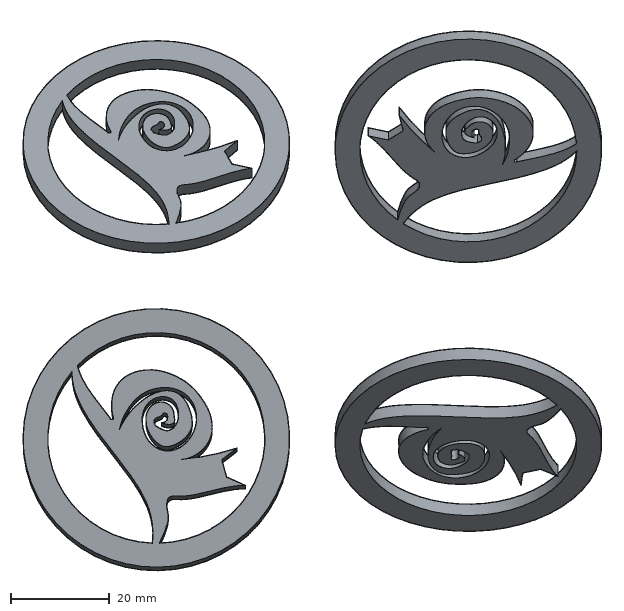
import cadquery as cq
import math

OUTER_DIAMETER = 54.0
RING_WIDTH = 5.0
THICKNESS = 3.0

TAIL_UNDERSIDE = (-32.9, -24.0)
TAIL_TOP = (-34.7, -21.3)
TAIL_ROOT = (-6.35, -7.95)
SHELL_FOOT = (-6.3, -7.3)
FRONT_UNDERSIDE = (38.8, -12.0)
FRONT_TOP = (39.6, -9.4)
CHEST = (12.65, 0.3)
RIGHT_EAR_TIP = (14.25, 14.9)
RIGHT_EAR_BASE = (11.55, 11.65)
LEFT_EAR_BASE = (7.85, 11.65)
LEFT_EAR_TIP = (6.25, 15.25)
NAPE = (5.65, 3.8)

SLOT_TIP = (-3.6, -6.75)
SLOT_END = (-2.6, 0.5)
SLOT_END_LEFT = (-3.55, 0.45)
HOOK_TIP = (-2.8, 1.85)

BELLY = [
    (-13.9, -13.4), (-9.1, -12.7), (-0.95, -9.9), (6.6, -6.9), (10.7, -5.7), (15.0, -5.25),
    (18.5, -5.65),
]
BACK = [(18.5, -2.85), (16.1, -1.8), (13.8, -1.5), (12.9, -0.95)]
THROAT = [(13.5, 4.9), (13.6, 10.35)]
NECK = [(6.25, 9.1)]
SHELL = [
    (5.25, 7.5), (3.35, 10.15), (1.2, 11.4), (-1.5, 11.8), (-5.3, 11.1), (-8.85, 9.45), (-11.8, 6.7),
    (-13.7, 3.55), (-14.4, 0.05), (-13.7, -3.35), (-11.55, -5.85), (-8.85, -7.0),
]
TAIL_NOTCH = (-6.05, -7.55)
TAIL = [(-11.95, -10.15), (-15.05, -11.1)]

SLOT_OUTER_WALL = [
    (-5.65, -5.5), (-8.05, -3.15), (-9.4, -0.9), (-10.0, 2.7), (-8.4, 6.95), (-5.2, 9.0), (-1.8, 8.9),
    (0.15, 8.0), (2.15, 6.1), (3.35, 2.9), (3.0, 1.0), (0.8, -1.35), (-2.75, -2.05), (-5.0, -1.6),
    (-7.6, 0.6), (-7.9, 3.85), (-6.85, 5.2), (-5.25, 5.8), (-3.4, 5.55), (-1.2, 3.95),
    (-0.85, 2.8), (-1.4, 1.6),
]
SLOT_END_WALL = [(-4.05, 1.2), (-4.3, 2.4), (-4.65, 2.9), (-4.2, 3.35), (-3.55, 3.35), (-2.9, 2.8)]
SLOT_INNER_WALL = [
    (-2.2, 2.75), (-2.0, 3.85), (-2.2, 4.3), (-3.4, 4.7), (-4.65, 4.8), (-6.0, 4.3), (-6.85, 3.3), (-7.1, 1.85),
    (-6.25, 0.1), (-4.75, -0.9), (-2.85, -1.25), (0.8, -0.25), (2.15, 1.15), (2.4, 2.7), (1.1, 6.25), (-0.05, 7.35),
    (-2.05, 8.05), (-4.2, 8.05), (-6.1, 7.65), (-7.95, 6.55), (-9.2, 2.9), (-8.05, -1.25), (-6.5, -3.9),
]

inner_radius = OUTER_DIAMETER / 2 - RING_WIDTH
base_plane = cq.Workplane("XY", origin=(0, 0, -THICKNESS / 2))


def on_ring(point):
    """Move a point along its radius onto the inner edge of the ring."""
    x, y = point
    stretch = inner_radius / math.hypot(x, y)
    return (x * stretch, y * stretch)


def curve(outline, bends, end):
    """Continue the outline with a smooth curve through the bends to the end."""
    return outline.spline([*bends, end], includeCurrent=True)


def make_disc():
    return base_plane.circle(OUTER_DIAMETER / 2).extrude(THICKNESS)


def make_lower_window():
    """Opening between the belly of the snail and the ring."""
    tail_end = on_ring(TAIL_UNDERSIDE)
    outline = base_plane.moveTo(*tail_end)
    outline = curve(outline, BELLY, on_ring(FRONT_UNDERSIDE))
    outline = outline.threePointArc((0, -inner_radius), tail_end)
    return outline.close().extrude(THICKNESS)


def make_upper_window():
    """Opening between the back, head, shell and tail of the snail and the ring."""
    front_end = on_ring(FRONT_TOP)
    outline = base_plane.moveTo(*front_end)
    outline = curve(outline, BACK, CHEST)
    outline = curve(outline, THROAT, RIGHT_EAR_TIP)
    outline = outline.lineTo(*RIGHT_EAR_BASE).lineTo(*LEFT_EAR_BASE).lineTo(*LEFT_EAR_TIP)
    outline = curve(outline, NECK, NAPE)
    outline = curve(outline, SHELL, SHELL_FOOT)
    outline = outline.threePointArc(TAIL_NOTCH, TAIL_ROOT)
    outline = curve(outline, TAIL, on_ring(TAIL_TOP))
    outline = outline.threePointArc((0, inner_radius), front_end)
    return outline.close().extrude(THICKNESS)


def make_spiral_slot():
    """Tapered slot that winds into the shell."""
    outline = base_plane.moveTo(*SLOT_TIP)
    outline = curve(outline, SLOT_OUTER_WALL, SLOT_END)
    outline = outline.lineTo(*SLOT_END_LEFT)
    outline = curve(outline, SLOT_END_WALL, HOOK_TIP)
    outline = curve(outline, SLOT_INNER_WALL, SLOT_TIP)
    return outline.close().extrude(THICKNESS)


result = make_disc().cut(make_lower_window()).cut(make_upper_window()).cut(make_spiral_slot())